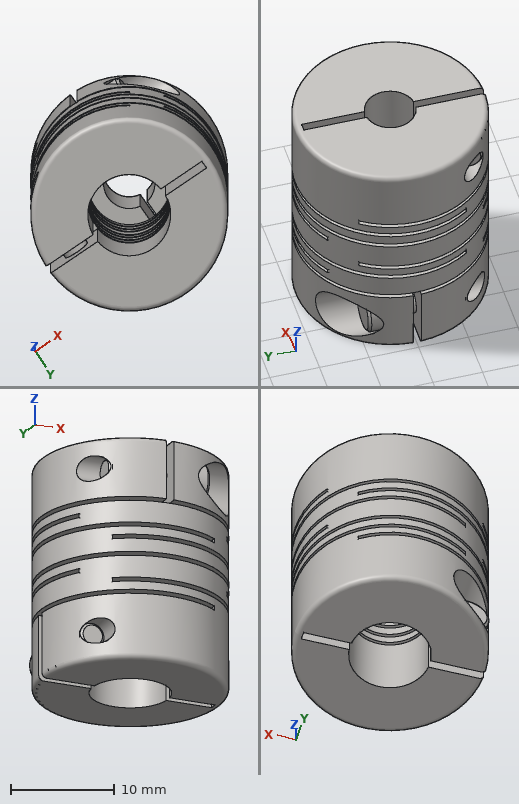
import cadquery as cq


height = 23.0
diameter = 19.1
edge_fillet = 0.5

upper_bore_diameter = 5.0
lower_bore_diameter = 8.0

slot_width = 0.41
slot_reach = 5.4
slot_mid_height = 11.75
slot_pair_pitch = 1.26
slot_pair_gap = 1.4
slot_middle_gap = 1.77

slit_width = 0.8
slit_reach = 8.8

screw_offset = 6.49
screw_end_distance = 3.05
shank_diameter = 2.6
head_diameter = 4.5
head_top = 4.65
head_length = 2.5
screw_length = 7.77
screw_chamfer = 0.28
counterbore_diameter = 5.0

radius = diameter / 2
cut_length = 2 * diameter

FACING_MINUS_Y = 0
FACING_PLUS_X = 90
FACING_PLUS_Y = 180
FACING_MINUS_X = 270

inner_offset = slot_middle_gap / 2
second_offset = inner_offset + slot_pair_pitch
third_offset = second_offset + slot_pair_gap
outer_offset = third_offset + slot_pair_pitch
slots = [
    (outer_offset, FACING_MINUS_Y),
    (third_offset, FACING_PLUS_Y),
    (second_offset, FACING_MINUS_X),
    (inner_offset, FACING_PLUS_X),
    (-inner_offset, FACING_MINUS_Y),
    (-second_offset, FACING_PLUS_Y),
    (-third_offset, FACING_PLUS_X),
    (-outer_offset, FACING_MINUS_X),
]
upper_hub_bottom = slot_mid_height + outer_offset + slot_width / 2
lower_hub_top = slot_mid_height - outer_offset - slot_width / 2


def cut_block(width, thickness, reach, bottom, angle):
    """Box from outside the -Y wall to `reach` past the axis, turned about Z."""
    block = (
        cq.Workplane("XY", origin=(0, reach - cut_length / 2, bottom))
        .rect(width, cut_length)
        .extrude(thickness)
    )
    return block.rotate((0, 0, 0), (0, 0, 1), angle)


def rod_along_x(rod_diameter, start, end, z):
    """Cylinder on the screw axis, between two X positions."""
    return (
        cq.Workplane("YZ", origin=(start, -screw_offset, z))
        .circle(rod_diameter / 2)
        .extrude(end - start)
    )


def clamp_screw(z):
    head_bottom = head_top - head_length
    head = rod_along_x(head_diameter, head_bottom, head_top, z).faces(">X").chamfer(screw_chamfer)
    tip = head_bottom - screw_length
    shank = rod_along_x(shank_diameter, tip, head_bottom, z).faces("<X").chamfer(screw_chamfer)
    return head.union(shank)


def screw_hole(z):
    counterbore = rod_along_x(counterbore_diameter, head_top - head_length, cut_length, z)
    return rod_along_x(shank_diameter, -cut_length, 0, z).union(counterbore)


def swap_ends(shape):
    """Half turn about a diagonal at mid height: exchanges the two ends, and -Y with -X."""
    return shape.rotate((0, 0, height / 2), (0.23, 0.23, height / 2), 180)


def fit_upper_clamp(body, hub_height):
    """Split the upper hub toward -Y, then drill it and fit its screw."""
    screw_z = height - screw_end_distance
    slit = cut_block(slit_width, hub_height, slit_reach, height - hub_height, FACING_MINUS_Y)
    return body.cut(slit).cut(screw_hole(screw_z)).union(clamp_screw(screw_z))


body = cq.Workplane("XY").circle(radius).extrude(height)
body = body.faces("<Z or >Z").edges().fillet(edge_fillet)
body = body.cut(cq.Workplane("XY").circle(upper_bore_diameter / 2).extrude(height))
body = body.cut(cq.Workplane("XY").circle(lower_bore_diameter / 2).extrude(upper_hub_bottom))

for offset, angle in slots:
    slot_bottom = slot_mid_height + offset - slot_width / 2
    body = body.cut(cut_block(cut_length, slot_width, slot_reach, slot_bottom, angle))

body = fit_upper_clamp(body, height - upper_hub_bottom)
body = swap_ends(fit_upper_clamp(swap_ends(body), lower_hub_top))

result = body